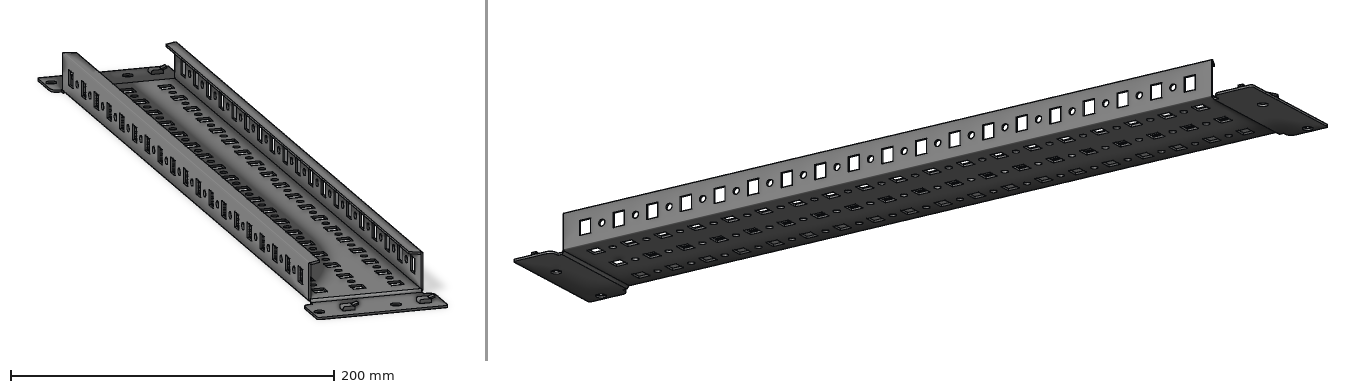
import cadquery as cq

length = 550.0
end_plate_width = 85.0
height = 27.0
sheet = 1.5
step_height = 1.9

channel_length = 482.5
channel_width = 75.0
flange_width = 8.0
flange_chamfer = 3.5
bend_radius = 1.0

step_run = 1.5
plate_length = 29.0
neck_width = channel_width - 2 * bend_radius
inner_corner_radius = 4.5
outer_corner_radius = 1.5

columns = 19
row_span = 450.0
pitch = row_span / (columns - 1)
floor_hole = 8.0
wall_hole_width = 8.0
wall_hole_height = 10.0
wall_hole_z = 14.5
small_diameter = 4.5

feature_inset = 12.0
feature_x = length / 2 - feature_inset
bolt_diameter = 6.5
bolt_ys = (pitch / 2, -1.5 * pitch)
hook_start_y = 27.0
hook_ys = (hook_start_y, hook_start_y - 2 * pitch)
hook_body_width = 6.5
hook_body_length = 7.5
hook_height = 4.1
hook_edge_radius = 1.0
tongue_width = 4.0
tongue_length = 3.0
tongue_thickness = 1.0
tongue_rise = 1.4

square_xs = [(i - (columns - 1) / 2) * pitch for i in range(columns)]
small_xs = [x + pitch / 2 for x in square_xs[:-1]]


def make_channel():
    """C-shaped channel with inward flanges whose ends are bevelled."""
    half = channel_width / 2
    inner = half - sheet
    lip = half - flange_width
    floor_top = step_height + sheet
    profile = [
        (-half, step_height), (half, step_height), (half, height), (lip, height),
        (lip, height - sheet), (inner, height - sheet), (inner, floor_top),
        (-inner, floor_top), (-inner, height - sheet), (-lip, height - sheet),
        (-lip, height), (-half, height),
    ]
    channel = (
        cq.Workplane("YZ").polyline(profile).close()
        .extrude(channel_length / 2, both=True)
    )
    channel = channel.faces("<Y or >Y").edges("|X").fillet(bend_radius)
    for side_x in (-1, 1):
        for side_y in (-1, 1):
            end_x = side_x * channel_length / 2
            bevel = (
                cq.Workplane("XY").workplane(offset=height - sheet)
                .polyline([
                    (end_x, side_y * inner),
                    (end_x, side_y * lip),
                    (end_x - side_x * flange_chamfer, side_y * lip),
                ])
                .close().extrude(sheet)
            )
            channel = channel.cut(bevel)
    return channel


def make_end():
    """Lowered plate at the +X end, with the joggle that joins it to the floor."""
    outer_x = length / 2
    inner_x = outer_x - plate_length
    step_x = channel_length / 2
    plate = (
        cq.Workplane("XY")
        .box(plate_length, end_plate_width, sheet, centered=(False, True, False))
        .translate((inner_x, 0, 0))
    )
    plate = plate.edges("|Z and <X").fillet(inner_corner_radius)
    plate = plate.edges("|Z and >X").fillet(outer_corner_radius)
    low_x = step_x + step_run
    root_x = inner_x + inner_corner_radius
    joggle = (
        cq.Workplane("XZ")
        .polyline([
            (root_x, 0), (low_x, 0), (step_x, step_height),
            (step_x, step_height + sheet), (low_x, sheet), (root_x, sheet),
        ])
        .close().extrude(neck_width / 2, both=True)
    )
    plate = plate.union(joggle)
    holes = (
        cq.Workplane("XY").pushPoints([(feature_x, y) for y in bolt_ys])
        .circle(bolt_diameter / 2).extrude(sheet)
    )
    return plate.cut(holes)


def make_hook(x, y):
    """Raised block with rounded ends and a narrower tongue rising towards +Y."""
    body = (
        cq.Workplane("XY")
        .box(hook_body_width, hook_body_length, hook_height, centered=(True, False, False))
        .edges("|X and >Z").fillet(hook_edge_radius)
    )
    root_y = hook_body_length - hook_edge_radius
    tip_y = hook_body_length + tongue_length
    tip_z = hook_height + tongue_rise
    tongue = (
        cq.Workplane("YZ")
        .polyline([
            (root_y, hook_height - tongue_thickness), (tip_y, tip_z - tongue_thickness),
            (tip_y, tip_z), (root_y, hook_height),
        ])
        .close().extrude(tongue_width / 2, both=True)
    )
    return body.union(tongue).translate((x, y, 0))


def floor_cutters():
    """Three rows of alternating square and round holes through the floor."""
    rows = (-pitch, 0, pitch)
    squares = [(x, y) for x in square_xs for y in rows]
    rounds = [(x, y) for x in small_xs for y in rows]
    plane = cq.Workplane("XY").workplane(offset=step_height)
    return (
        plane.pushPoints(squares).rect(floor_hole, floor_hole).extrude(sheet)
        .add(plane.pushPoints(rounds).circle(small_diameter / 2).extrude(sheet))
        .combine()
    )


def wall_cutters():
    """One row of alternating rectangular and round holes through both walls."""
    plane = cq.Workplane("XZ")
    squares = plane.pushPoints([(x, wall_hole_z) for x in square_xs])
    rounds = plane.pushPoints([(x, wall_hole_z) for x in small_xs])
    return (
        squares.rect(wall_hole_width, wall_hole_height).extrude(channel_width, both=True)
        .add(rounds.circle(small_diameter / 2).extrude(channel_width, both=True))
        .combine()
    )


result = make_channel().cut(floor_cutters()).cut(wall_cutters())
end = make_end()
result = result.union(end).union(end.mirror("YZ"))
for hook_x in (-feature_x, feature_x):
    for hook_y in hook_ys:
        result = result.union(make_hook(hook_x, hook_y))